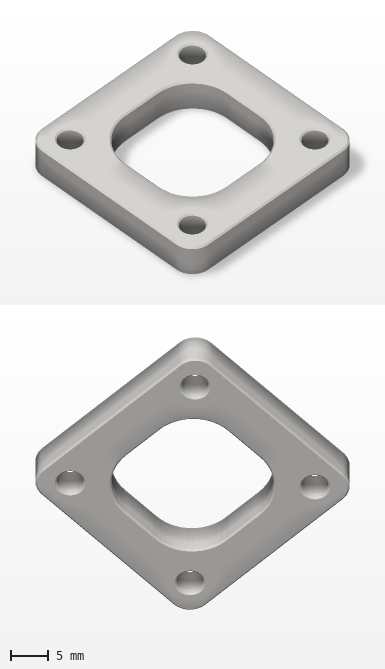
import cadquery as cq

plate_side = 31.2
plate_thickness = 5.1
plate_corner_radius = 3.0

window_side = 19.03
window_corner_radius = 6.5

hole_diameter = 3.6
hole_spacing = 22.93

edge_chamfer = 0.25


def rounded_square_block(side, corner_radius):
    """Square block of plate thickness, centred on Z, with rounded upright edges."""
    block = cq.Workplane("XY").box(side, side, plate_thickness)
    return block.edges("|Z").fillet(corner_radius)


plate = rounded_square_block(plate_side, plate_corner_radius)
plate = plate.cut(rounded_square_block(window_side, window_corner_radius))

plate = (
    plate.faces(">Z")
    .workplane(origin=(0, 0, 0))
    .rect(hole_spacing, hole_spacing, forConstruction=True)
    .vertices()
    .hole(hole_diameter)
)

result = plate.faces("<Z or >Z").edges().chamfer(edge_chamfer)